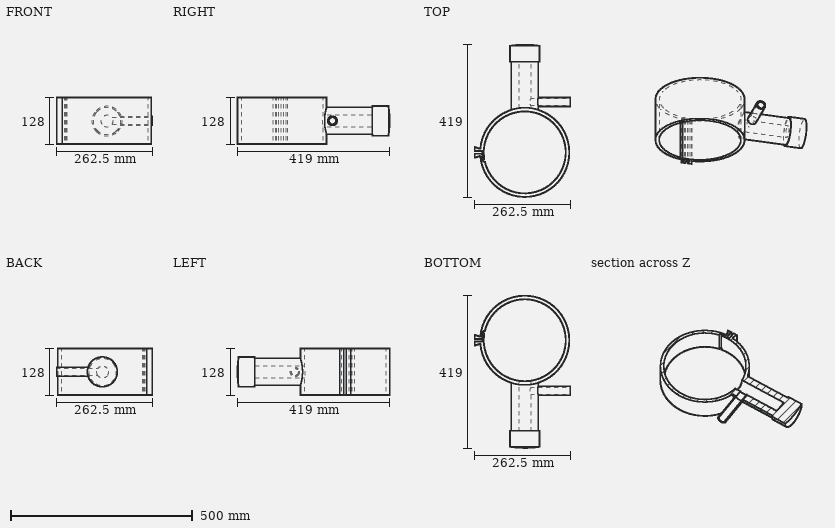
import cadquery as cq
import math

total_width = 262.5
total_depth = 419.0
ring_height = 128.0
outer_radius = 122.7
inner_radius = 112.3
ring_base = (0, 0, -ring_height / 2)

lug_reach = 137.5
gap_half = 3.5
lug_tip_half = 15.0
lug_root_half = 10.0
recess_radius = 117.0
tongue_clearance = 0.5
tongue_end = -19.0
recess_end = -25.0
recess_corner_radius = 3.8

pipe_diameter = 75.0
pipe_radius = pipe_diameter / 2
bore_radius = 16.5
cap_radius = 41.0
cap_start = 248.5
cap_edge = 292.8
cap_top = total_depth - outer_radius

side_diameter = 25.5
side_radius = side_diameter / 2
side_bore_radius = 9.5
side_position = 138.5
side_end = total_width - lug_reach


def ring_band(small_radius, large_radius):
    return cq.Workplane("XY", origin=ring_base).circle(large_radius).circle(small_radius).extrude(ring_height)


def joint_block(y_low, y_high):
    """Full-height block on the -X side between two Y positions."""
    return (
        cq.Workplane("XY", origin=ring_base)
        .center(-lug_reach / 2, (y_low + y_high) / 2)
        .rect(lug_reach, y_high - y_low)
        .extrude(ring_height)
    )


def clamp_lug(side):
    """Flared lug; side is +1 above the gap and -1 below it."""
    root_x = -math.sqrt(outer_radius**2 - lug_root_half**2)
    inside_x = -(inner_radius + outer_radius) / 2
    return (
        cq.Workplane("XY", origin=ring_base)
        .moveTo(-lug_reach, side * gap_half)
        .lineTo(-lug_reach, side * lug_tip_half)
        .lineTo(root_x, side * lug_root_half)
        .lineTo(inside_x, side * lug_root_half)
        .lineTo(inside_x, side * gap_half)
        .close()
        .extrude(ring_height)
    )


def make_clamp():
    ring = ring_band(inner_radius, outer_radius)
    lugs = clamp_lug(1).union(clamp_lug(-1))

    gap = joint_block(-gap_half, gap_half)
    recess = cq.Workplane("XY", origin=ring_base).circle(recess_radius).extrude(ring_height)
    recess = recess.intersect(joint_block(recess_end, gap_half))
    recess = recess.edges("|Z").edges("<Y").edges("<X").fillet(recess_corner_radius)

    tongue = ring_band(inner_radius, recess_radius - tongue_clearance)
    tongue = tongue.intersect(joint_block(tongue_end, gap_half))
    return ring.union(lugs).cut(gap).cut(recess).union(tongue)


def make_branch():
    """Pipe, cap and dome revolved about the Y axis."""
    dome_rise = cap_top - cap_edge
    dome_radius = (cap_radius**2 + dome_rise**2) / (2 * dome_rise)
    dome_centre = cap_top - dome_radius
    arc_x = cap_radius / 2
    arc_y = dome_centre + math.sqrt(dome_radius**2 - arc_x**2)
    return (
        cq.Workplane("XY")
        .lineTo(pipe_radius, 0)
        .lineTo(pipe_radius, cap_start)
        .lineTo(cap_radius, cap_start)
        .lineTo(cap_radius, cap_edge)
        .threePointArc((arc_x, arc_y), (0, cap_top))
        .close()
        .revolve(360, (0, 0, 0), (0, 1, 0))
    )


def pipe_along_x(radius):
    return cq.Workplane("YZ").center(side_position, 0).circle(radius).extrude(side_end)


def make_pipes():
    """Branch and side pipe, trimmed so that they stay outside the ring's wall."""
    wall_middle = (inner_radius + outer_radius) / 2
    ring_interior = cq.Workplane("XY", origin=ring_base).circle(wall_middle).extrude(ring_height)
    return make_branch().union(pipe_along_x(side_radius)).cut(ring_interior)


bore = cq.Workplane("XZ").circle(bore_radius).extrude(-cap_start)
side_bore = pipe_along_x(side_bore_radius)

result = make_clamp().union(make_pipes()).cut(bore).cut(side_bore).clean()